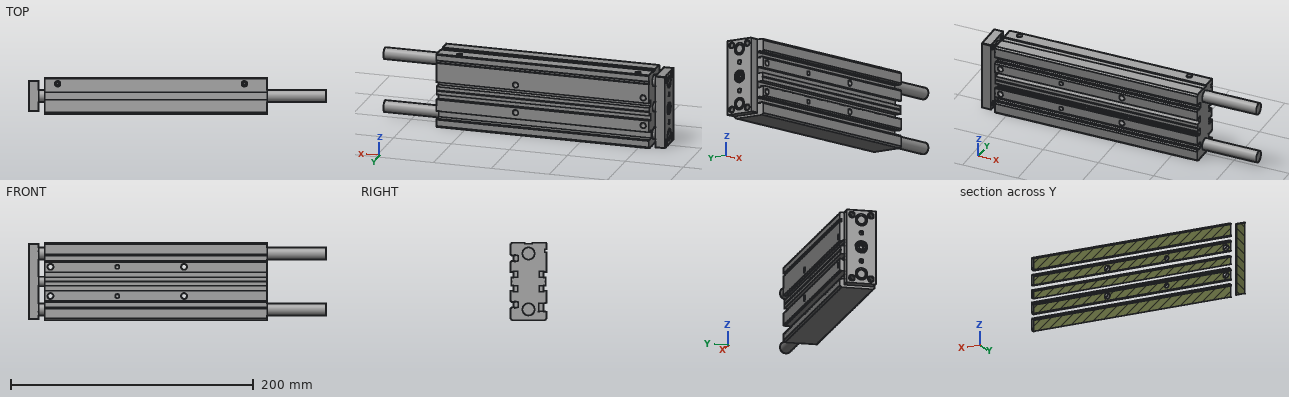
import cadquery as cq
import math


TOTAL_LENGTH = 245.0
PLATE_THICKNESS = 8.0
HOUSING_START = 13.0
HOUSING_END = 196.2

HOUSING_WIDTH = 30.0
HOUSING_HEIGHT = 64.0
CORNER_CHAMFER = 1.5
SMALL_CHAMFER = 0.7

T_SLOT_Z = 19.0
T_SLOT_MOUTH = 6.5
T_SLOT_THROAT = 4.2
T_SLOT_THROAT_DEPTH = 3.7
T_SLOT_INNER = 5.6
T_SLOT_DEPTH = 6.5
T_SLOT_FLOOR = 4.2

RIB_WIDTH = 6.9
RIB_RECESS = 0.7
GROOVE_OUTER_Z = 7.5
GROOVE_LIP_DEPTH = 2.2
GROOVE_UNDERCUT = 1.0
GROOVE_DEPTH = 6.1
RIB_MARK_WIDTH = 0.7
RIB_MARK_DEPTH = 0.2

BACK_SLOT_Z = -21.3
BACK_SLOT_MOUTH = 7.5
BACK_SLOT_THROAT = 6.5
BACK_SLOT_CHAMFER_DEPTH = 1.5
BACK_SLOT_DEPTH = 6.5
SENSOR_GROOVE_Z = 25.2
SENSOR_GROOVE_WIDTH = 2.2
SENSOR_GROOVE_DEPTH = 1.5

TOP_GROOVE_WIDTH = 6.0
TOP_GROOVE_DEPTH = 1.0

HOLE_Z = 12.0
MOUNT_HOLE_DIAMETER = 4.7
MOUNT_HOLES_X = (18.0, 128.0)
PIN_HOLE_DIAMETER = 3.5
PIN_HOLE_DEPTH = 4.0
PORTS_X = (23.8, 177.6)
PORT_Y = 10.0
PORT_DIAMETER = 4.7
PORT_DEPTH = 4.0
PORT_BORE_DIAMETER = 2.2

PLATE_WIDTH = 25.0
PLATE_HEIGHT = 62.2
PLATE_CHAMFER = 0.5
PLATE_HOLE_Y = 8.0
PLATE_HOLE_Z = 27.0
PLATE_HOLE_DIAMETER = 4.2
PLATE_HOLE_RIM = 5.1

GUIDE_ROD_DIAMETER = 10.0
GUIDE_ROD_Z = 23.0
PISTON_ROD_DIAMETER = 8.0
PISTON_ROD_END = 98.0
ROD_HEAD_DIAMETER = 7.0
ROD_DIMPLE_DEPTH = 0.2
ROD_HEAD_INSET = 0.7
COUNTERBORE_DIAMETER = 10.0
COUNTERBORE_DEPTH = 2.2
SOCKET_SIDES = 6
SOCKET_SIZE = 3.7
SOCKET_DEPTH = 2.0

DRILL_TIP_ANGLE = 118.0


def x_rod(diameter, start, end, y=0.0, z=0.0):
    """Cylinder along X between two stations."""
    return cq.Workplane("YZ", origin=(start, y, z)).circle(diameter / 2).extrude(end - start)


def x_prism(points):
    """Prism with a (y, z) outline, running the length of the housing."""
    outline = cq.Workplane("YZ", origin=(HOUSING_START, 0, 0)).polyline(points).close()
    return outline.extrude(HOUSING_END - HOUSING_START)


def drilled_hole(diameter, depth, origin, direction):
    """Blind round hole that ends in a drill tip."""
    radius = diameter / 2
    tip = radius / math.tan(math.radians(DRILL_TIP_ANGLE / 2))
    start = cq.Vector(*origin)
    axis = cq.Vector(*direction)
    hole = cq.Solid.makeCylinder(radius, depth, start, axis)
    return hole.fuse(cq.Solid.makeCone(radius, 0, tip, start + axis * depth, axis))


def t_slot(z):
    """Slot in the -Y face: chamfered mouth, straight throat, then an undercut tapering to the floor."""
    face = -HOUSING_WIDTH / 2
    outline = [
        (face, T_SLOT_MOUTH / 2),
        (face + (T_SLOT_MOUTH - T_SLOT_THROAT) / 2, T_SLOT_THROAT / 2),
        (face + T_SLOT_THROAT_DEPTH, T_SLOT_THROAT / 2),
        (face + T_SLOT_THROAT_DEPTH, T_SLOT_INNER / 2),
        (face + T_SLOT_DEPTH, T_SLOT_FLOOR / 2),
    ]
    lower_half = [(y, -half) for y, half in reversed(outline)]
    return x_prism([(y, z + half) for y, half in outline + lower_half])


def rib_groove(y_side, z_side):
    """Undercut groove beside the centre rib, together with the strip that lowers half of the rib."""
    face = HOUSING_WIDTH / 2
    outline = [
        (face, 0),
        (face, GROOVE_OUTER_Z),
        (face - GROOVE_LIP_DEPTH, GROOVE_OUTER_Z),
        (face - GROOVE_LIP_DEPTH - GROOVE_UNDERCUT, GROOVE_OUTER_Z + GROOVE_UNDERCUT),
        (face - GROOVE_DEPTH, GROOVE_OUTER_Z + GROOVE_UNDERCUT),
        (face - GROOVE_DEPTH, RIB_WIDTH / 2),
        (face - RIB_RECESS, RIB_WIDTH / 2),
        (face - RIB_RECESS, RIB_MARK_WIDTH / 2),
        (face - RIB_RECESS - RIB_MARK_DEPTH, 0),
    ]
    return x_prism([(y_side * y, z_side * z) for y, z in outline])


def back_slot():
    """Straight slot with a chamfered mouth, low on the +Y face."""
    face = HOUSING_WIDTH / 2
    throat_y = face - BACK_SLOT_CHAMFER_DEPTH
    return x_prism([
        (face, BACK_SLOT_Z + BACK_SLOT_MOUTH / 2),
        (throat_y, BACK_SLOT_Z + BACK_SLOT_THROAT / 2),
        (face - BACK_SLOT_DEPTH, BACK_SLOT_Z + BACK_SLOT_THROAT / 2),
        (face - BACK_SLOT_DEPTH, BACK_SLOT_Z - BACK_SLOT_THROAT / 2),
        (throat_y, BACK_SLOT_Z - BACK_SLOT_THROAT / 2),
        (face, BACK_SLOT_Z - BACK_SLOT_MOUTH / 2),
    ])


def x_groove(y_min, y_max, z_min, z_max):
    """Rectangular groove along the housing."""
    return x_prism([(y_min, z_min), (y_max, z_min), (y_max, z_max), (y_min, z_max)])


def port(x):
    """Top port: a countersink narrowing to a small bore."""
    top = cq.Vector(x, PORT_Y, HOUSING_HEIGHT / 2)
    down = cq.Vector(0, 0, -1)
    cone_depth = (PORT_DIAMETER - PORT_BORE_DIAMETER) / 2
    cone = cq.Solid.makeCone(PORT_DIAMETER / 2, PORT_BORE_DIAMETER / 2, cone_depth, top, down)
    return cone.fuse(cq.Solid.makeCylinder(PORT_BORE_DIAMETER / 2, PORT_DEPTH, top, down))


def make_housing():
    """Extruded housing with its slots, holes and rod bores."""
    half_width = HOUSING_WIDTH / 2
    half_height = HOUSING_HEIGHT / 2
    body = x_prism([
        (-half_width, -half_height + CORNER_CHAMFER),
        (-half_width + CORNER_CHAMFER, -half_height),
        (half_width - CORNER_CHAMFER, -half_height),
        (half_width, -half_height + CORNER_CHAMFER),
        (half_width, half_height - SMALL_CHAMFER),
        (half_width - SMALL_CHAMFER, half_height),
        (-half_width + CORNER_CHAMFER, half_height),
        (-half_width, half_height - CORNER_CHAMFER),
    ])
    for side in (-1, 1):
        body = body.cut(t_slot(side * T_SLOT_Z))
        body = body.cut(rib_groove(-1, side)).cut(rib_groove(1, side))
    body = body.cut(back_slot())
    body = body.cut(x_groove(
        half_width - SENSOR_GROOVE_DEPTH, half_width,
        SENSOR_GROOVE_Z - SENSOR_GROOVE_WIDTH / 2, SENSOR_GROOVE_Z + SENSOR_GROOVE_WIDTH / 2,
    ))
    body = body.cut(x_groove(
        -TOP_GROOVE_WIDTH / 2, TOP_GROOVE_WIDTH / 2,
        half_height - TOP_GROOVE_DEPTH, half_height,
    ))

    pin_x = sum(MOUNT_HOLES_X) / 2
    for z in (-HOLE_Z, HOLE_Z):
        for x in MOUNT_HOLES_X:
            body = body.cut(cq.Workplane(cq.Solid.makeCylinder(
                MOUNT_HOLE_DIAMETER / 2, HOUSING_WIDTH, cq.Vector(x, -half_width, z), cq.Vector(0, 1, 0)
            )))
        body = body.cut(cq.Workplane(
            drilled_hole(PIN_HOLE_DIAMETER, PIN_HOLE_DEPTH, (pin_x, -half_width, z), (0, 1, 0))
        ))
    for x in PORTS_X:
        body = body.cut(cq.Workplane(port(x)))

    for z in (-GUIDE_ROD_Z, GUIDE_ROD_Z):
        body = body.cut(x_rod(GUIDE_ROD_DIAMETER, HOUSING_START, HOUSING_END, z=z))
    return body.cut(x_rod(PISTON_ROD_DIAMETER, HOUSING_START, PISTON_ROD_END))


def make_plate():
    """Tool plate with corner holes, pin holes and seats for the three rods."""
    plate = cq.Workplane("XY").box(
        PLATE_THICKNESS, PLATE_WIDTH, PLATE_HEIGHT, centered=(False, True, True)
    ).edges("|X").chamfer(PLATE_CHAMFER)
    rim_depth = (PLATE_HOLE_RIM - PLATE_HOLE_DIAMETER) / 2
    along_x = cq.Vector(1, 0, 0)
    for z_side in (-1, 1):
        for y_side in (-1, 1):
            y = y_side * PLATE_HOLE_Y
            z = z_side * PLATE_HOLE_Z
            plate = plate.cut(x_rod(PLATE_HOLE_DIAMETER, 0, PLATE_THICKNESS, y, z))
            plate = plate.cut(cq.Workplane(cq.Solid.makeCone(
                PLATE_HOLE_RIM / 2, PLATE_HOLE_DIAMETER / 2, rim_depth, cq.Vector(0, y, z), along_x
            )))
        plate = plate.cut(cq.Workplane(
            drilled_hole(PIN_HOLE_DIAMETER, PIN_HOLE_DEPTH, (0, 0, z_side * HOLE_Z), (1, 0, 0))
        ))
        plate = plate.cut(x_rod(GUIDE_ROD_DIAMETER, 0, PLATE_THICKNESS, z=z_side * GUIDE_ROD_Z))
    plate = plate.cut(x_rod(COUNTERBORE_DIAMETER, 0, COUNTERBORE_DEPTH))
    return plate.cut(x_rod(ROD_HEAD_DIAMETER, 0, PLATE_THICKNESS))


def make_guide_rod(z):
    """Guide rod, flush with the plate and slightly dimpled at its -X end."""
    rod = x_rod(GUIDE_ROD_DIAMETER, 0, TOTAL_LENGTH, z=z)
    return rod.cut(x_rod(ROD_HEAD_DIAMETER, 0, ROD_DIMPLE_DEPTH, z=z))


def make_piston_rod():
    """Piston rod whose narrower head goes through the plate and has a hexagon socket."""
    rod = x_rod(PISTON_ROD_DIAMETER, PLATE_THICKNESS, PISTON_ROD_END)
    rod = rod.union(x_rod(ROD_HEAD_DIAMETER, ROD_HEAD_INSET, PLATE_THICKNESS))
    end_face = cq.Workplane("YZ", origin=(ROD_HEAD_INSET, 0, 0))
    socket = end_face.polygon(SOCKET_SIDES, SOCKET_SIZE, circumscribed=True).extrude(SOCKET_DEPTH)
    return rod.cut(socket)


housing = make_housing()
plate = make_plate()
guide_rods = [make_guide_rod(z) for z in (-GUIDE_ROD_Z, GUIDE_ROD_Z)]
piston_rod = make_piston_rod()

result = cq.Compound.makeCompound(
    [housing.val(), plate.val(), *[rod.val() for rod in guide_rods], piston_rod.val()]
)